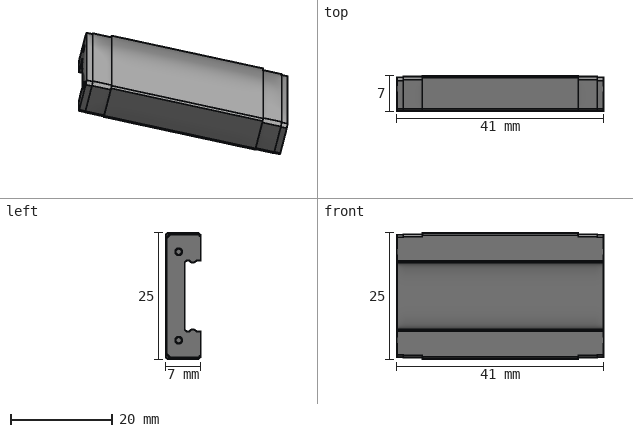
import cadquery as cq

overall_length = 41.0
thickness = 7.0
height = 25.0

head_height = 0.05
body_length = overall_length - 2 * head_height
seal_length = 1.25
cap_length = 3.8
caps_span = body_length - 2 * seal_length
core_length = caps_span - 2 * cap_length

cap_side_inset = 0.25
cap_back_inset = 0.12
seal_side_inset = 0.35
seal_back_inset = 0.25

front_chamfer = 0.5
core_back_chamfer = 0.4
end_back_chamfer = 0.7

channel_width = 14.0
channel_depth = 3.15
channel_corner = 0.32
ridge_width = 1.4
ridge_height = 0.4
ridge_offset = 1.6

screw_spacing = 17.5
screw_offset = 4.4
head_base_diameter = 1.4
head_top_diameter = 1.15

front_y = -thickness / 2


def block(length, side_inset, back_inset, back_chamfer):
    """Bar centred on X, flush with the front face, with four chamfered long edges."""
    depth = thickness - back_inset
    bar = cq.Workplane("XY").box(length, depth, height - 2 * side_inset)
    bar = bar.translate((0, front_y + depth / 2, 0))
    bar = bar.faces("<Y").edges("|X").chamfer(front_chamfer)
    return bar.faces(">Y").edges("|X").chamfer(back_chamfer)


def extrude_along_body(sketch):
    """Extrude a YZ sketch both ways so that it spans the body length."""
    return sketch.extrude(body_length / 2, both=True)


def rail_channel():
    """Channel cutter with bevelled floor corners."""
    floor_y = front_y + channel_depth
    half_width = channel_width / 2
    sketch = (
        cq.Workplane("YZ")
        .moveTo(front_y, -half_width)
        .lineTo(floor_y - channel_corner, -half_width)
        .lineTo(floor_y, -half_width + channel_corner)
        .lineTo(floor_y, half_width - channel_corner)
        .lineTo(floor_y - channel_corner, half_width)
        .lineTo(front_y, half_width)
        .close()
    )
    return extrude_along_body(sketch)


def ridge(side):
    """Rounded ridge on one channel wall; side is +1 for the upper wall, -1 for the lower."""
    wall_z = side * channel_width / 2
    middle_y = front_y + ridge_offset
    sketch = (
        cq.Workplane("YZ")
        .moveTo(middle_y - ridge_width / 2, wall_z)
        .threePointArc(
            (middle_y, wall_z - side * ridge_height),
            (middle_y + ridge_width / 2, wall_z),
        )
        .close()
    )
    return extrude_along_body(sketch)


def screw_head(end, side):
    """Low tapered screw head; end is +1 or -1 along X, side is +1 or -1 along Z."""
    return (
        cq.Workplane("YZ", origin=(end * body_length / 2, 0, 0))
        .center(front_y + screw_offset, side * screw_spacing / 2)
        .circle(head_base_diameter / 2)
        .workplane(offset=end * head_height)
        .circle(head_top_diameter / 2)
        .loft()
    )


result = (
    block(core_length, 0, 0, core_back_chamfer)
    .union(block(caps_span, cap_side_inset, cap_back_inset, end_back_chamfer))
    .union(block(body_length, seal_side_inset, seal_back_inset, end_back_chamfer))
    .cut(rail_channel())
)

for side in (-1, 1):
    result = result.union(ridge(side))
    for end in (-1, 1):
        result = result.union(screw_head(end, side))